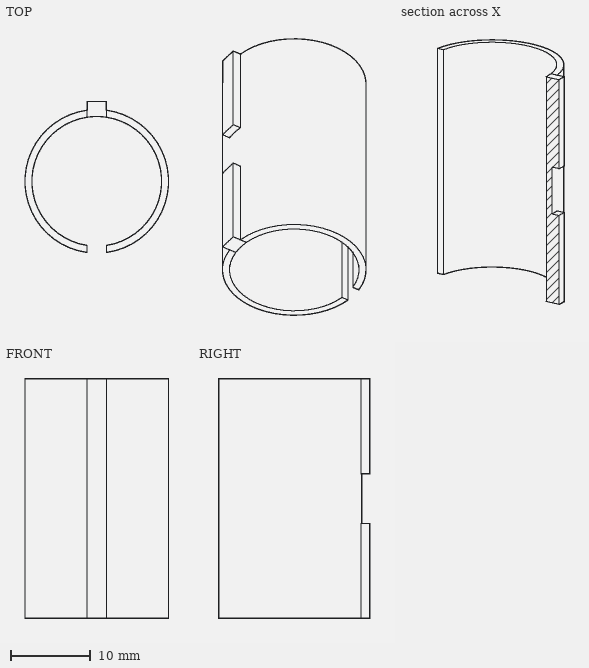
import cadquery as cq

outer_diameter = 18.0
inner_diameter = 16.2
sleeve_height = 30.0

slot_width = 2.4

key_width = slot_width
key_tip_y = 10.0
key_gap_height = 6.2
key_end_overhang = 0.005

outer_radius = outer_diameter / 2
inner_radius = inner_diameter / 2
key_length = (sleeve_height - key_gap_height) / 2 + key_end_overhang
lower_key_base_z = -key_end_overhang
upper_key_base_z = sleeve_height + key_end_overhang - key_length


def make_sleeve():
    """Thin tube with a lengthwise slot along -Y."""
    tube = cq.Workplane("XY").circle(outer_radius).circle(inner_radius).extrude(sleeve_height)
    slot = cq.Workplane("XY").box(slot_width, outer_radius, sleeve_height, centered=(True, False, False))
    return tube.cut(slot.translate((0, -outer_radius, 0)))


def make_key(base_z):
    """Key block rising from base_z, with its inner side flush with the bore."""
    block = cq.Workplane("XY").box(key_width, key_tip_y, key_length, centered=(True, False, False))
    bore = cq.Workplane("XY").circle(inner_radius).extrude(key_length)
    return block.cut(bore).translate((0, 0, base_z))


result = make_sleeve()
for key_base_z in (lower_key_base_z, upper_key_base_z):
    result = result.union(make_key(key_base_z))